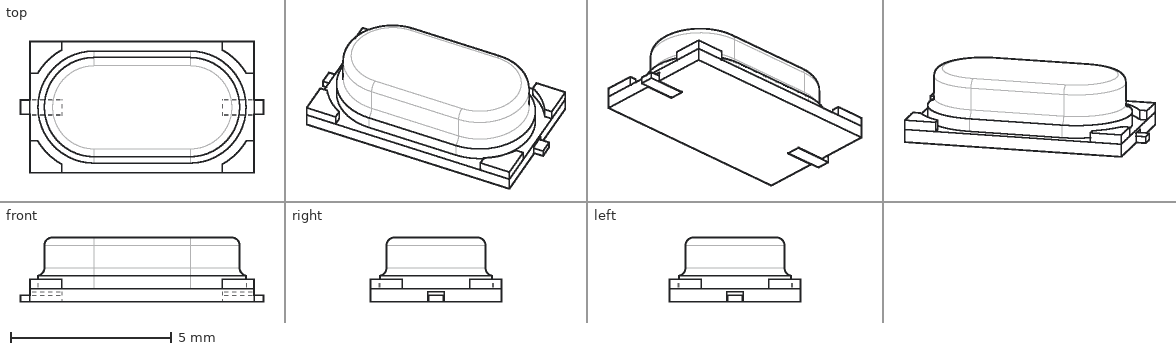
import cadquery as cq

base_length = 7.0
base_width = 4.1
base_height = 0.41

end_spacing = 3.0
can_radius = 1.55
can_edge_radius = 0.25
total_height = 2.01

flange_radius = 1.75
foot_fillet_radius = 0.25
foot_fillet_top = 1.06

block_size = 1.0
block_height = 0.3
block_clearance_radius = base_width / 2

lead_width = 0.45
lead_height = 0.21
lead_overhang = 0.3
recess_width = 0.5
recess_height = 0.31
recess_depth = 1.0

selection_margin = 0.01


def make_base():
    """Flat plate with a recess open to the bottom and to the side at each end."""
    plate = cq.Workplane("XY").box(base_length, base_width, base_height, centered=(True, True, False))
    for side in (-1, 1):
        recess_x = side * (base_length - recess_depth) / 2
        recess = (
            cq.Workplane("XY")
            .box(recess_depth, recess_width, recess_height, centered=(True, True, False))
            .translate((recess_x, 0, 0))
        )
        plate = plate.cut(recess)
    return plate


def make_oval(radius, bottom, top):
    """Upright prism with straight long sides and half-round ends."""
    return (
        cq.Workplane("XY", origin=(0, 0, bottom))
        .slot2D(end_spacing + 2 * radius, 2 * radius)
        .extrude(top - bottom)
    )


def make_can():
    """Solid can with a rounded top edge and a flange that the foot fillet runs out onto."""
    ledge_radius = can_radius + 2 * foot_fillet_radius
    ledge_top = foot_fillet_top - foot_fillet_radius
    ledge = make_oval(ledge_radius, base_height, ledge_top)
    wall = make_oval(can_radius, base_height, total_height)
    wall = wall.faces(">Z").edges().fillet(can_edge_radius)

    box_y = (can_radius + ledge_radius) / 2
    box_x = box_y + end_spacing / 2
    box_bottom = (-box_x, -box_y, ledge_top - selection_margin)
    box_top = (box_x, box_y, ledge_top + selection_margin)
    wall_foot = cq.selectors.BoxSelector(box_bottom, box_top, boundingbox=True)
    can = ledge.union(wall).edges(wall_foot).fillet(foot_fillet_radius)
    return can.intersect(make_oval(flange_radius, base_height, total_height))


def make_corner_block(side_x, side_y):
    """Square block with its inner corner cut back by an arc round the can end."""
    block_x = side_x * (base_length - block_size) / 2
    block_y = side_y * (base_width - block_size) / 2
    block = (
        cq.Workplane("XY")
        .box(block_size, block_size, block_height, centered=(True, True, False))
        .translate((block_x, block_y, base_height))
    )
    clearance = (
        cq.Workplane("XY", origin=(side_x * end_spacing / 2, 0, base_height))
        .circle(block_clearance_radius)
        .extrude(block_height)
    )
    return block.cut(clearance)


def make_lead(side):
    """Flat lead that fills the length of its recess and stands out past the base."""
    lead_length = recess_depth + lead_overhang
    lead_x = side * (base_length / 2 + lead_overhang - lead_length / 2)
    return (
        cq.Workplane("XY")
        .box(lead_length, lead_width, lead_height, centered=(True, True, False))
        .translate((lead_x, 0, 0))
    )


base = make_base()
can = make_can()
corner_blocks = [make_corner_block(side_x, side_y) for side_x in (-1, 1) for side_y in (-1, 1)]
leads = [make_lead(side) for side in (-1, 1)]

result = cq.Compound.makeCompound(
    [base.val(), can.val()]
    + [block.val() for block in corner_blocks]
    + [lead.val() for lead in leads]
)